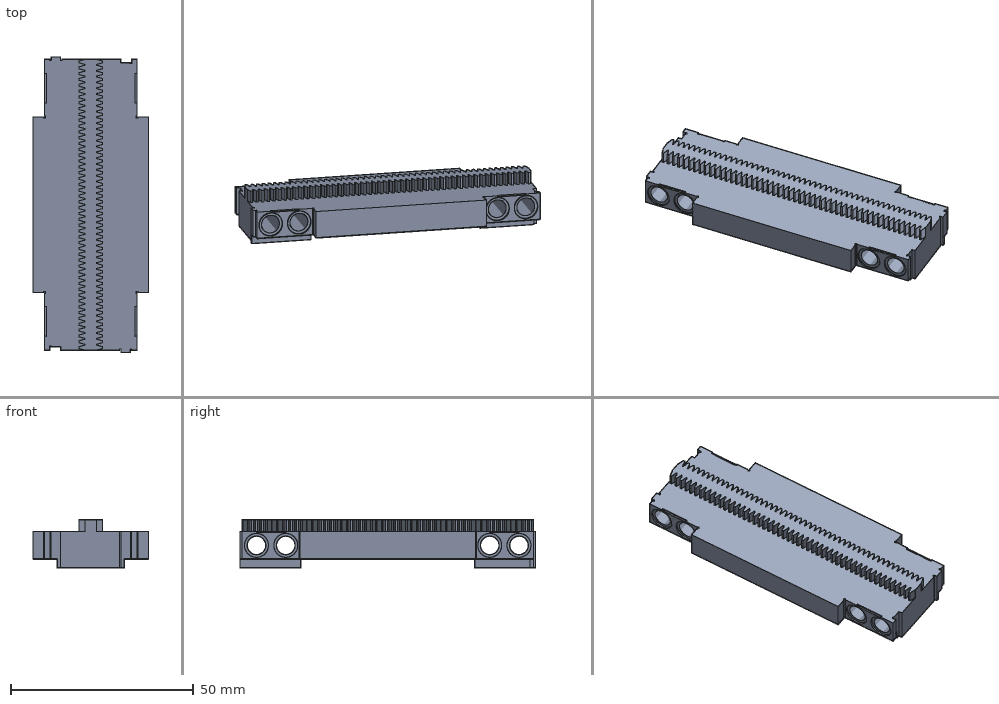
import cadquery as cq

total_height = 13.2
plate_bottom = 2.3
plate_top = 10.0
plate_height = plate_top - plate_bottom
plate_bottom_chamfer = 0.25

total_length = 81.2
half_total_length = total_length / 2
wide_half_width = 15.9
wide_half_length = 24.1
shank_width = 25.4
shank_half_width = shank_width / 2
shank_half_length = 40.0

key_inner_x = 8.3
tongue_outer_x = 10.9
notch_outer_x = 11.2
notch_depth = 1.0
notch_floor_y = shank_half_length - notch_depth
shoulder_relief_radius = 0.25
key_relief_width = 0.3
tongue_relief_depth = 0.4
notch_relief_depth = 0.25

foot_half_width = 9.25
foot_inner_y = 23.9

tooth_count = 50
tooth_pitch = 2 * shank_half_length / tooth_count
rack_width = 6.6
rack_tip_x = rack_width / 2
rack_root_x = 1.55
tooth_tip_width = 0.5
tooth_gap_root_width = 0.2

hole_diameter = 5.0
counterbore_diameter = 6.6
counterbore_depth = 0.5
hole_inner_y = 28.0
hole_outer_y = 36.05
hole_z = 6.2

edge_step_height = 0.3
edge_step_depth = 0.5


def half_turn(points):
    """Return the points turned 180 degrees about the Z axis."""
    return [(-x, -y) for x, y in points]


def prism(points, bottom, height):
    return cq.Workplane("XY").workplane(offset=bottom).polyline(points).close().extrude(height)


def end_outline():
    """Outline of the +Y end, from the +X shoulder round to the -X shoulder."""
    return [
        (wide_half_width, wide_half_length),
        (shank_half_width, wide_half_length),
        (shank_half_width, shank_half_length),
        (notch_outer_x, shank_half_length),
        (notch_outer_x, notch_floor_y),
        (key_inner_x, notch_floor_y),
        (key_inner_x, shank_half_length),
        (-key_inner_x, shank_half_length),
        (-key_inner_x, half_total_length),
        (-tongue_outer_x, half_total_length),
        (-tongue_outer_x, shank_half_length),
        (-shank_half_width, shank_half_length),
        (-shank_half_width, wide_half_length),
        (-wide_half_width, wide_half_length),
    ]


def body():
    """Plate with its two feet, all following the same end outline."""
    outline = end_outline() + half_turn(end_outline())
    plate = prism(outline, plate_bottom, plate_height).faces("<Z").chamfer(plate_bottom_chamfer)
    foot_length = half_total_length - foot_inner_y
    foot_centers = [(0, side * (foot_inner_y + foot_length / 2)) for side in (1, -1)]
    foot_strips = (
        cq.Workplane("XY")
        .pushPoints(foot_centers)
        .rect(2 * foot_half_width, foot_length)
        .extrude(plate_top)
    )
    feet = prism(outline, 0, plate_top).intersect(foot_strips)
    return plate.union(feet)


def shoulder_reliefs():
    """Round clearance cuts in the inside corners between the shanks and the wide middle."""
    corners = [
        (side * shank_half_width, end * wide_half_length)
        for side in (1, -1)
        for end in (1, -1)
    ]
    return cq.Workplane("XY").pushPoints(corners).circle(shoulder_relief_radius).extrude(plate_top)


def key_reliefs():
    """Narrow clearance cuts beside each tongue and in the outer corner of each notch."""
    half_width = key_relief_width / 2
    tongue_cuts = [
        (-key_inner_x + half_width, shank_half_length),
        (-tongue_outer_x - half_width, shank_half_length),
    ]
    notch_cuts = [(notch_outer_x - half_width, notch_floor_y)]
    reliefs = cq.Workplane("XY")
    for centers, depth in ((tongue_cuts, tongue_relief_depth), (notch_cuts, notch_relief_depth)):
        cuts = (
            cq.Workplane("XY")
            .pushPoints(centers + half_turn(centers))
            .rect(key_relief_width, 2 * depth)
            .extrude(plate_top)
        )
        reliefs = reliefs.add(cuts)
    return reliefs.combine()


def rack():
    """Rack with teeth on both sides, beginning and ending in the middle of a tooth gap."""
    right_side = []
    for tooth in range(tooth_count):
        start = tooth * tooth_pitch - shank_half_length
        middle = start + tooth_pitch / 2
        end = start + tooth_pitch
        right_side += [
            (rack_root_x, start + tooth_gap_root_width / 2),
            (rack_tip_x, middle - tooth_tip_width / 2),
            (rack_tip_x, middle + tooth_tip_width / 2),
            (rack_root_x, end - tooth_gap_root_width / 2),
        ]
    right_side = [(rack_root_x, -shank_half_length)] + right_side + [(rack_root_x, shank_half_length)]
    return prism(right_side + half_turn(right_side), plate_top, total_height - plate_top)


def cross_holes():
    """Through holes along X, counterbored from both sides of each shank."""
    centers = [(end * y, hole_z) for end in (1, -1) for y in (hole_inner_y, hole_outer_y)]
    holes = (
        cq.Workplane("YZ")
        .pushPoints(centers)
        .circle(hole_diameter / 2)
        .extrude(shank_half_width, both=True)
    )
    for side in (1, -1):
        floor_x = side * (shank_half_width - counterbore_depth)
        counterbores = (
            cq.Workplane("YZ", origin=(floor_x, 0, 0))
            .pushPoints(centers)
            .circle(counterbore_diameter / 2)
            .extrude(side * counterbore_depth)
        )
        holes = holes.union(counterbores)
    return holes


def edge_steps():
    """Shallow steps in the top edges, each spanning between the centers of a pair of holes."""
    centers = [
        (side * (shank_half_width - edge_step_depth / 2), end * (hole_inner_y + hole_outer_y) / 2)
        for side in (1, -1)
        for end in (1, -1)
    ]
    return (
        cq.Workplane("XY")
        .workplane(offset=plate_top - edge_step_height)
        .pushPoints(centers)
        .rect(edge_step_depth, hole_outer_y - hole_inner_y)
        .extrude(edge_step_height)
    )


result = (
    body()
    .cut(shoulder_reliefs())
    .cut(key_reliefs())
    .cut(cross_holes())
    .cut(edge_steps())
    .union(rack())
)